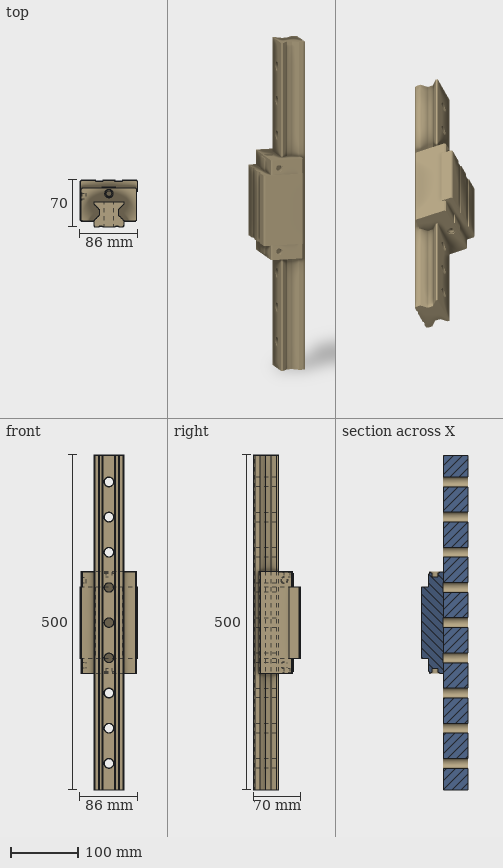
import cadquery as cq

rail_length = 500.0
rail_height = 37.5
rail_half_width = 22.5
head_land = 3.0
neck_half_width = 14.0
neck_low = 18.0
neck_high = 26.0
foot_height = 9.5
base_chamfer_width = 1.5
base_chamfer_height = 2.5
base_groove_inner = 8.5
base_groove_outer = 15.5
base_groove_depth = 1.0
base_groove_flare = 1.5

bolt_hole_diameter = 14.0
bolt_hole_pitch = 52.5
bolt_hole_count = 9

carriage_top = 70.0
carriage_bottom = 8.5
block_length = 107.0
block_half_width = 43.0
top_chamfer = 2.0
bottom_chamfer = 2.0
datum_lip_bottom = 53.0
datum_setback = 1.5
top_groove_inner = 9.0
top_groove_outer = 20.0
top_groove_depth = 1.5

cap_length = 22.5
cap_half_width = block_half_width - datum_setback
cap_top = 58.5
cap_chamfer = 2.0
pad_half_width = 10.0
pad_height = 1.5
pad_setback = 3.0

end_port_height = 50.0
end_port_diameter = 12.5
side_port_height = 46.0
side_port_offset = 10.0
side_port_diameter = 10.5
port_seat_depth = 1.5
port_bore_diameter = 8.5
port_bore_depth = 7.5

cap_start = block_length / 2
cap_end = cap_start + cap_length


def full_length_bar(section):
    """Extrude a closed XY section over the whole rail length."""
    return section.extrude(rail_length).translate((0, 0, -rail_length / 2))


def rail_section():
    right_side = [
        (rail_half_width - base_chamfer_width, 0),
        (rail_half_width, base_chamfer_height),
        (rail_half_width, foot_height),
        (neck_half_width, neck_low),
        (neck_half_width, neck_high),
        (rail_half_width, rail_height - head_land),
        (rail_half_width, rail_height),
    ]
    left_side = [(-x, y) for x, y in reversed(right_side)]
    return cq.Workplane("XY").polyline(right_side + left_side).close()


def base_groove_section(side):
    outline = [
        (side * base_groove_inner, 0),
        (side * (base_groove_inner + base_groove_flare), base_groove_depth),
        (side * (base_groove_outer - base_groove_flare), base_groove_depth),
        (side * base_groove_outer, 0),
    ]
    return cq.Workplane("XY").polyline(outline).close()


def make_rail():
    body = full_length_bar(rail_section())
    for side in (-1, 1):
        body = body.cut(full_length_bar(base_groove_section(side)))
    bolt_holes = (
        cq.Workplane("XZ")
        .rarray(5, bolt_hole_pitch, 1, bolt_hole_count)
        .circle(bolt_hole_diameter / 2)
        .extrude(-rail_height)
    )
    return body.cut(bolt_holes)


def make_block():
    set_back_side = block_half_width - datum_setback
    outline = [
        (-block_half_width + bottom_chamfer, carriage_bottom),
        (set_back_side - bottom_chamfer, carriage_bottom),
        (set_back_side, carriage_bottom + bottom_chamfer),
        (set_back_side, datum_lip_bottom),
        (block_half_width, datum_lip_bottom),
        (block_half_width, carriage_top - top_chamfer),
        (block_half_width - top_chamfer, carriage_top),
        (-block_half_width + top_chamfer, carriage_top),
        (-block_half_width, carriage_top - top_chamfer),
        (-block_half_width, carriage_bottom + bottom_chamfer),
    ]
    block = cq.Workplane("XY").polyline(outline).close().extrude(block_length / 2, both=True)
    groove_width = top_groove_outer - top_groove_inner
    groove_centre = (top_groove_outer + top_groove_inner) / 2
    for side in (-1, 1):
        groove = cq.Workplane("XY").box(groove_width, 2 * top_groove_depth, block_length)
        block = block.cut(groove.translate((side * groove_centre, carriage_top, 0)))
    return block


def port(plane, seat_diameter):
    """Port sunk from the plane's origin along its normal."""
    seat = cq.Workplane(plane).circle(seat_diameter / 2).extrude(port_seat_depth)
    bore = cq.Workplane(plane).circle(port_bore_diameter / 2).extrude(port_bore_depth)
    return seat.union(bore)


def make_end_cap():
    """End cap on the +Z end of the block."""
    cap = (
        cq.Workplane("XY", origin=(0, carriage_bottom, cap_start))
        .box(2 * cap_half_width, cap_top - carriage_bottom, cap_length, centered=(True, False, False))
        .edges("|Z")
        .chamfer(cap_chamfer)
    )
    pad = cq.Workplane("XY", origin=(0, cap_top, cap_start)).box(
        2 * pad_half_width, 2 * pad_height, cap_length - pad_setback, centered=(True, True, False)
    )
    end_plane = cq.Plane(origin=(0, end_port_height, cap_end), xDir=(1, 0, 0), normal=(0, 0, -1))
    side_plane = cq.Plane(
        origin=(-cap_half_width, side_port_height, cap_start + side_port_offset),
        xDir=(0, 1, 0),
        normal=(1, 0, 0),
    )
    cap = cap.union(pad)
    cap = cap.cut(port(end_plane, end_port_diameter))
    return cap.cut(port(side_plane, side_port_diameter))


def make_carriage():
    upper_cap = make_end_cap()
    lower_cap = upper_cap.mirror("XY")
    body = make_block().union(upper_cap).union(lower_cap)
    rail_channel = full_length_bar(rail_section())
    return body.cut(rail_channel)


rail = make_rail()
carriage = make_carriage()
result = cq.Compound.makeCompound([rail.solids().val(), carriage.solids().val()])